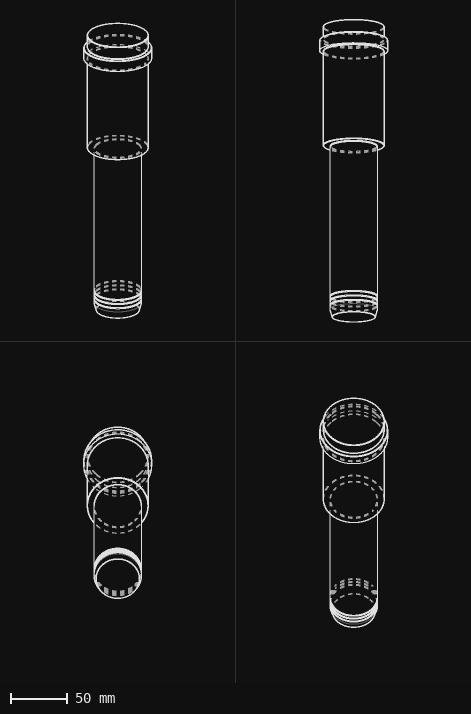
import cadquery as cq
import math

flange_diameter = 60.0
body_diameter = 54.0
shank_diameter = 42.0

total_length = 263.0
shank_length = 155.0
flange_thickness = 10.0
head_length = 12.0

edge_chamfer = 0.5

taper_length = 7.0
taper_angle = math.radians(15.0)
tip_chamfer = 0.3

oil_groove_count = 3
oil_groove_width = 1.0
oil_groove_pitch = 4.0
lowest_oil_groove_z = 10.5

undercut_width = 1.0
undercut_depth = 0.5

relief_width = 1.0
relief_depth = 0.47
bevel_length = 0.28
bevel_depth = 0.4

flange_radius = flange_diameter / 2
body_radius = body_diameter / 2
shank_radius = shank_diameter / 2
flange_top_z = total_length - head_length
flange_bottom_z = flange_top_z - flange_thickness


def revolved(points):
    """Solid of revolution about Z from (radius, z) points."""
    return cq.Workplane("XZ").polyline(points).close().revolve(360, (0, 0, 0), (0, 1, 0))


def make_shank():
    tip_radius = shank_radius - taper_length * math.tan(taper_angle)
    chamfer_end_radius = tip_radius + tip_chamfer * math.tan(taper_angle)
    undercut_radius = shank_radius - undercut_depth
    return revolved([
        (0, 0),
        (chamfer_end_radius - tip_chamfer, 0),
        (chamfer_end_radius, tip_chamfer),
        (shank_radius, taper_length),
        (shank_radius, shank_length - undercut_width),
        (undercut_radius, shank_length - undercut_width),
        (undercut_radius, shank_length),
        (0, shank_length),
    ])


def oil_groove(middle_z):
    """Ring of round section that cuts a half-round groove around the shank."""
    section = cq.Workplane("XZ").center(shank_radius, middle_z).circle(oil_groove_width / 2)
    return section.revolve(360, (-shank_radius, 0, 0), (-shank_radius, 1, 0))


def make_body():
    body = cq.Workplane("XY").workplane(offset=shank_length).circle(body_radius)
    body = body.extrude(total_length - shank_length)
    return body.faces("<Z or >Z").chamfer(edge_chamfer)


def relief_groove(flange_face_z, direction):
    """Cutter from a flange face along the body; direction is +1 upward, -1 downward."""
    body_edge_z = flange_face_z + direction * relief_width
    bevel_end_z = body_edge_z - direction * bevel_length
    return revolved([
        (flange_radius, flange_face_z),
        (body_radius - relief_depth, flange_face_z),
        (body_radius - bevel_depth, bevel_end_z),
        (body_radius, body_edge_z),
        (flange_radius, body_edge_z),
    ])


def make_flange():
    flange = cq.Workplane("XY").workplane(offset=flange_bottom_z).circle(flange_radius)
    return flange.extrude(flange_thickness).faces(">Z").chamfer(edge_chamfer)


shank = make_shank()
for groove_index in range(oil_groove_count):
    shank = shank.cut(oil_groove(lowest_oil_groove_z + groove_index * oil_groove_pitch))

body = make_body()
body = body.cut(relief_groove(flange_top_z, 1))
body = body.cut(relief_groove(flange_bottom_z, -1))

result = shank.union(body).union(make_flange())